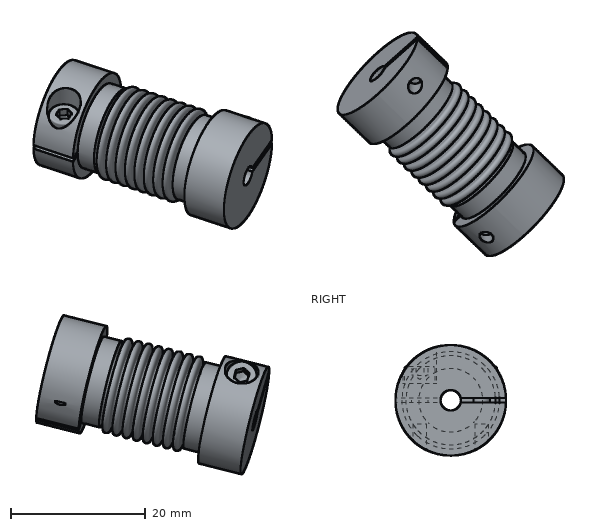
import cadquery as cq
import math


total_length = 31.5
hub_length = 6.55
collar_length = 2.7

hub_diameter = 16.5
collar_diameter = 13.3
bore_diameter = 3.0

fin_count = 8
fin_diameter = 14.5
root_diameter = 9.5
gap_width = 0.55

slit_width = 0.7
screw_x = 3.3
screw_y = -4.6
counterbore_diameter = 5.0
head_diameter = 4.5
head_height = 2.5
head_top_z = 5.0
head_rounding = 0.25
shank_diameter = 2.5
shank_length = 6.0
tapped_diameter = 2.05

socket_flats = 2.05
socket_depth = 1.2
socket_tip_angle = 120.0

hub_radius = hub_diameter / 2
bellows_start = hub_length + collar_length
bellows_length = total_length - 2 * bellows_start
fin_width = (bellows_length - (fin_count + 1) * gap_width) / fin_count
seat_z = head_top_z - head_height
shank_tip_z = seat_z - shank_length


def x_cylinder(diameter, start_x, length):
    """Cylinder on the coupling axis, with its seam line facing down."""
    plane = cq.Plane(origin=(start_x, 0, 0), xDir=(0, 0, -1), normal=(1, 0, 0))
    return cq.Workplane(plane).circle(diameter / 2).extrude(length)


def screw_cylinder(diameter, bottom_z, top_z):
    """Cylinder on the axis of the left clamping screw."""
    base = cq.Workplane("XY", origin=(screw_x, screw_y, bottom_z))
    return base.circle(diameter / 2).extrude(top_z - bottom_z)


def turn_to_right_end(body):
    """Half turn about the vertical line through the middle of the coupling."""
    middle = total_length / 2
    return body.rotate((middle, 0, 0), (middle, 0, 1), 180)


def bellows():
    """Revolved profile of round-tipped fins separated by round-bottomed gaps."""
    fin_radius = fin_width / 2
    gap_radius = gap_width / 2
    tip_y = fin_diameter / 2
    root_y = root_diameter / 2
    tip_shoulder_y = tip_y - fin_radius
    root_shoulder_y = root_y + gap_radius

    def add_gap(profile, start_x):
        return profile.threePointArc((start_x + gap_radius, root_y), (start_x + gap_width, root_shoulder_y))

    x = bellows_start
    profile = cq.Workplane("XY").moveTo(x, 0).lineTo(x, root_shoulder_y)
    profile = add_gap(profile, x)
    x += gap_width
    for _ in range(fin_count):
        profile = profile.lineTo(x, tip_shoulder_y)
        profile = profile.threePointArc((x + fin_radius, tip_y), (x + fin_width, tip_shoulder_y))
        x += fin_width
        profile = profile.lineTo(x, root_shoulder_y)
        profile = add_gap(profile, x)
        x += gap_width
    return profile.lineTo(x, 0).close().revolve(360, (0, 0, 0), (1, 0, 0))


def slit_hub():
    """Left hub with its collar, cut from the axis to -Y by the clamping slit."""
    hub = x_cylinder(hub_diameter, 0, hub_length)
    slit = cq.Workplane("XY").box(hub_length, hub_radius, slit_width, centered=(False, False, True))
    hub = hub.cut(slit.translate((0, -hub_radius, 0)))
    return hub.union(x_cylinder(collar_diameter, hub_length, collar_length))


def screw():
    """Socket head screw without its socket."""
    shank = screw_cylinder(shank_diameter, shank_tip_z, seat_z)
    head = screw_cylinder(head_diameter, seat_z, head_top_z)
    head = head.faces(">Z").edges().fillet(head_rounding)
    return head.union(shank)


def tapped_hole():
    """Open thread hole from the underside of the hub up to the screw tip."""
    return screw_cylinder(tapped_diameter, -hub_radius, shank_tip_z)


def hex_socket():
    """Hexagonal socket with a conical bottom."""
    corner_radius = socket_flats / math.sqrt(3)
    tip_height = corner_radius / math.tan(math.radians(socket_tip_angle / 2))
    floor_z = head_top_z - socket_depth
    tip_z = floor_z - tip_height
    hexagon = (
        cq.Workplane("XY", origin=(screw_x, screw_y, tip_z))
        .transformed(rotate=(0, 0, 90))
        .polygon(6, 2 * corner_radius)
        .extrude(head_top_z - tip_z)
    )
    drill = (
        cq.Workplane("XZ")
        .lineTo(corner_radius, tip_height)
        .lineTo(corner_radius, tip_height + socket_depth)
        .lineTo(0, tip_height + socket_depth)
        .close()
        .revolve(360, (0, 0, 0), (0, 1, 0))
        .translate((screw_x, screw_y, tip_z))
    )
    return hexagon.intersect(drill)


counterbore = screw_cylinder(counterbore_diameter, seat_z, hub_radius)
left_hub = slit_hub().cut(counterbore).union(screw()).cut(tapped_hole()).cut(hex_socket())

right_hub = turn_to_right_end(slit_hub().union(screw()).cut(tapped_hole()))

bore = x_cylinder(bore_diameter, 0, total_length)
result = left_hub.union(bellows()).union(right_hub).cut(bore)